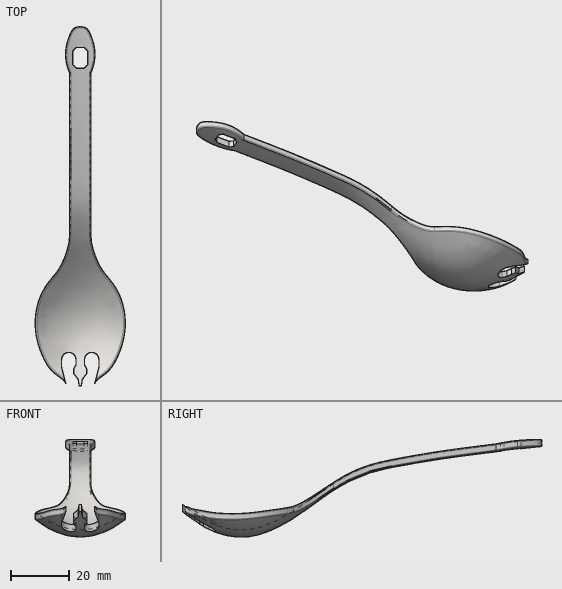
import cadquery as cq


bowl_half_width = 15.52
handle_half_width = 3.7
head_half_width = 5.08
head_end = (1.6, 102.35)
head_end_y = 102.58
head_side = (3.9, 99.0)
head_widest_y = 92.6
head_base_y = 86.8
shoulder_start_y = 31.0
neck_mid = (5.3, 23.5)
neck_end = (8.9, 17.2)
neck_end_direction = (0.66, -0.75)
bowl_back = (13.3, 10.8)
bowl_front = (12.3, -12.0)
bowl_front_corner = (9.05, -16.4)
outer_tine_tip = (4.95, -20.1)
bowl_front_end_y = -23.6

slot_center_x = 3.95
slot_radius = 2.42
slot_end_y = -9.4
slot_straight_end_y = -14.5
tine_neck_y = -13.7
tine_bulge_half_width = 2.3
tine_bulge_back_y = -15.1
tine_bulge_front_y = -16.6
tine_waist = (0.75, -18.6)
tine_tip_half_width = 0.4
tine_tip_y = -20.86
slot_mouth_y = -25.0

hole_width = 5.1
hole_length = 7.0
hole_corner = 1.2
hole_center_y = 91.9

thickness = 2.5
cross_curvature = 0.0258
edge_radius = 0.4
sheet_side_margin = 2.0
sheet_half_width = bowl_half_width + sheet_side_margin
profile_samples = 41
cross_samples = 9
trim_bottom_z = -5.0
trim_height = 50.0

underside = [
    (-26.0, 12.9),
    (-20.86, 8.8),
    (-13.4, 3.5),
    (-6.7, 0.8),
    (0.0, 0.0),
    (8.9, 2.1),
    (15.6, 5.5),
    (22.3, 10.0),
    (29.0, 14.8),
    (35.7, 18.9),
    (42.4, 21.8),
    (51.3, 24.0),
    (73.6, 27.7),
    (87.0, 29.4),
    (102.6, 31.2),
    (106.0, 31.5),
]


def dished_sheet():
    """Sheet whose section across X is a parabola, thickened straight up."""
    profile = cq.Edge.makeSpline([cq.Vector(0, y, z) for y, z in underside])
    grid = []
    for i in range(profile_samples):
        middle = profile.positionAt(i / (profile_samples - 1))
        row = []
        for j in range(cross_samples):
            x = sheet_half_width * (2 * j / (cross_samples - 1) - 1)
            row.append(cq.Vector(x, middle.y, middle.z + cross_curvature * x**2))
        grid.append(row)
    surface = cq.Face.makeSplineApprox(grid, tol=0.005, minDeg=3, maxDeg=5)
    return cq.Workplane(cq.Solid.extrudeLinear(surface, cq.Vector(0, 0, thickness)))


def trim_plane(center_y=0.0):
    """Horizontal plane below the whole part, from which trimming prisms rise."""
    return cq.Workplane("XY", origin=(0, center_y, trim_bottom_z))


def with_mirror_image(half):
    return half.union(half.mirror("YZ"))


def spoon_plan():
    """Prism over the outline of head, handle and bowl, before the slots are cut."""
    half = (
        trim_plane()
        .moveTo(0, head_end_y)
        .spline(
            [
                head_end,
                head_side,
                (head_half_width, head_widest_y),
                (handle_half_width, head_base_y),
            ],
            includeCurrent=True,
        )
        .lineTo(handle_half_width, shoulder_start_y)
        .spline([neck_mid, neck_end], tangents=[(0, -1), neck_end_direction], includeCurrent=True)
        .spline(
            [
                bowl_back,
                (bowl_half_width, 0),
                bowl_front,
                bowl_front_corner,
                outer_tine_tip,
                (0, bowl_front_end_y),
            ],
            tangents=[neck_end_direction, (-1, 0)],
            includeCurrent=True,
        )
        .close()
        .extrude(trim_height)
    )
    return with_mirror_image(half)


def slots():
    """Cutter for both slots and for the space in front of the center tine."""
    outer_x = slot_center_x + slot_radius
    inner_x = slot_center_x - slot_radius
    round_start_y = slot_end_y - slot_radius
    half = (
        trim_plane()
        .moveTo(0, slot_mouth_y)
        .lineTo(outer_tine_tip[0], slot_mouth_y)
        .lineTo(*outer_tine_tip)
        .lineTo(outer_x, slot_straight_end_y)
        .lineTo(outer_x, round_start_y)
        .threePointArc((slot_center_x, slot_end_y), (inner_x, round_start_y))
        .lineTo(inner_x, tine_neck_y)
        .lineTo(tine_bulge_half_width, tine_bulge_back_y)
        .lineTo(tine_bulge_half_width, tine_bulge_front_y)
        .lineTo(*tine_waist)
        .lineTo(tine_tip_half_width, tine_tip_y)
        .lineTo(0, tine_tip_y)
        .close()
        .extrude(trim_height)
    )
    return with_mirror_image(half)


def hanging_hole():
    return (
        trim_plane(hole_center_y)
        .rect(hole_width, hole_length)
        .extrude(trim_height)
        .edges("|Z")
        .chamfer(hole_corner)
    )


blank = dished_sheet().intersect(spoon_plan())
rounded_blank = blank.edges("not |Z").fillet(edge_radius)
result = rounded_blank.cut(slots()).cut(hanging_hole())